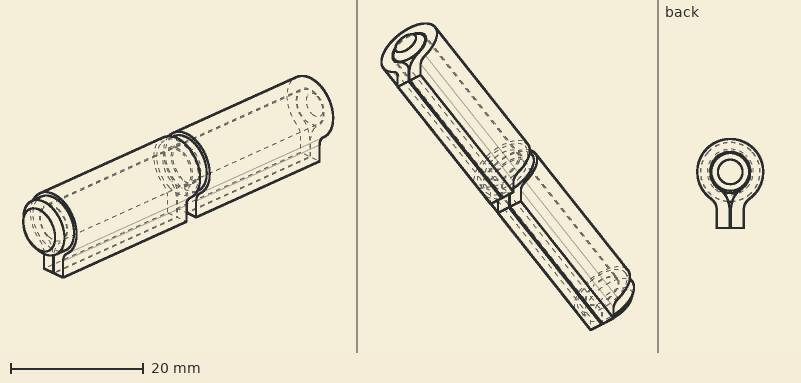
import cadquery as cq
import math


total_length = 58.0
head_length = 3.0
leaf_length = 26.0
tip_length = 1.0
leaf_gap = total_length - head_length - 2 * leaf_length - tip_length
ring_clearance = 0.145
ring_length = leaf_gap - 2 * ring_clearance

pin_radius = 5.7 / 2
head_radius = 8.9 / 2
end_chamfer = 1.0

ring_radius = 9.0 / 2
ring_bore_radius = 6.4 / 2

barrel_radius = 10.0 / 2
overall_height = 13.45
tab_bottom = barrel_radius - overall_height
sheet_thickness = 2.0
slit_width = 0.2
bend_radius = 2.0

head_start = -total_length / 2
lower_leaf_start = head_start + head_length
ring_start = lower_leaf_start + leaf_length + ring_clearance
upper_leaf_start = lower_leaf_start + leaf_length + leaf_gap


def y_plane(y):
    """Sketch plane across the pin axis, extruding towards +Y, with x = X and y = Z."""
    return cq.Workplane(cq.Plane(origin=(0, y, 0), xDir=(1, 0, 0), normal=(0, -1, 0)))


def cylinder(radius, start, length):
    return y_plane(start).circle(radius).extrude(-length)


def make_pin():
    head = cylinder(head_radius, head_start, head_length).faces("<Y").chamfer(end_chamfer)
    shank = cylinder(pin_radius, lower_leaf_start, total_length - head_length)
    shank = shank.faces(">Y").chamfer(end_chamfer)
    return head.union(shank)


def make_ring():
    return y_plane(ring_start).circle(ring_radius).circle(ring_bore_radius).extrude(-ring_length)


def make_leaf(start):
    """One sheet of constant thickness: two parallel tabs that bend out into a round barrel."""
    bore_radius = barrel_radius - sheet_thickness
    tab_inner = slit_width / 2
    tab_outer = tab_inner + sheet_thickness

    bend_x = tab_outer + bend_radius
    bend_distance = barrel_radius + bend_radius
    bend_z = -math.sqrt(bend_distance**2 - bend_x**2)
    toward_bend = (bend_x / bend_distance, bend_z / bend_distance)

    half_turn = math.atan2(-bend_z, bend_x) / 2

    def barrel_joint(radius, side):
        return (side * radius * toward_bend[0], radius * toward_bend[1])

    def bend_middle(radius, side):
        x = bend_x - radius * math.cos(half_turn)
        return (side * x, bend_z + radius * math.sin(half_turn))

    outer_bend = bend_radius
    inner_bend = bend_radius + sheet_thickness
    left, right = -1, 1
    return (
        y_plane(start)
        .moveTo(tab_inner, tab_bottom)
        .lineTo(tab_outer, tab_bottom)
        .lineTo(tab_outer, bend_z)
        .threePointArc(bend_middle(outer_bend, right), barrel_joint(barrel_radius, right))
        .threePointArc((0, barrel_radius), barrel_joint(barrel_radius, left))
        .threePointArc(bend_middle(outer_bend, left), (-tab_outer, bend_z))
        .lineTo(-tab_outer, tab_bottom)
        .lineTo(-tab_inner, tab_bottom)
        .lineTo(-tab_inner, bend_z)
        .threePointArc(bend_middle(inner_bend, left), barrel_joint(bore_radius, left))
        .threePointArc((0, bore_radius), barrel_joint(bore_radius, right))
        .threePointArc(bend_middle(inner_bend, right), (tab_inner, bend_z))
        .close()
        .extrude(-leaf_length)
    )


pin = make_pin()
ring = make_ring()
leaves = [make_leaf(start) for start in (lower_leaf_start, upper_leaf_start)]

result = cq.Compound.makeCompound([pin.val(), ring.val(), *[leaf.val() for leaf in leaves]])